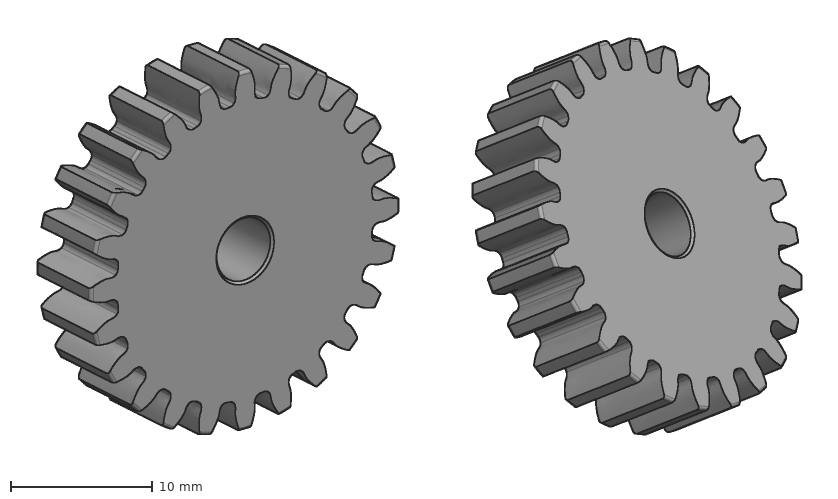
import cadquery as cq
import math

outer_diameter = 27.5
face_width = 6.35
tooth_count = 24
pressure_angle = math.radians(14.5)
root_clearance = 0.25
root_half_width = 1.18
root_fillet = 0.52
tip_fillet = 0.25
bore_diameter = 4.75
bore_chamfer = 0.2
flank_steps = 6

outer_radius = outer_diameter / 2
module = outer_diameter / (tooth_count + 2)
root_radius = outer_radius - (2 + root_clearance) * module
pitch_radius = module * tooth_count / 2
base_radius = pitch_radius * math.cos(pressure_angle)
root_half_angle = root_half_width / root_radius
tooth_angle = 2 * math.pi / tooth_count
half_width = face_width / 2
end_plane = cq.Workplane("YZ", origin=(-half_width, 0, 0))


def involute(angle):
    return math.tan(angle) - angle


def half_tooth_angle(radius):
    """Half of the angle that a tooth spans on an involute flank at this radius."""
    local_pressure_angle = math.acos(min(1, base_radius / radius))
    return tooth_angle / 4 + involute(pressure_angle) - involute(local_pressure_angle)


def polar(radius, angle):
    return (radius * math.cos(angle), radius * math.sin(angle))


def flank(center_angle, side):
    """Points of one flank: its flared foot, then the involute from the base circle to the tip."""
    tip_roll = math.sqrt((outer_radius / base_radius) ** 2 - 1)
    points = [polar(root_radius, center_angle + side * root_half_angle)]
    for step in range(flank_steps + 1):
        roll = tip_roll * step / flank_steps
        radius = base_radius * math.sqrt(1 + roll**2)
        points.append(polar(radius, center_angle + side * half_tooth_angle(radius)))
    return points


def gear_outline():
    """Toothed outline: smooth flanks between round tips and round roots."""
    outline = end_plane.moveTo(*polar(root_radius, -root_half_angle))
    for tooth in range(tooth_count):
        center_angle = tooth * tooth_angle
        rising = flank(center_angle, -1)
        falling = flank(center_angle, 1)[::-1]
        outline = outline.spline(rising[1:], includeCurrent=True)
        outline = outline.threePointArc(polar(outer_radius, center_angle), falling[0])
        outline = outline.spline(falling[1:], includeCurrent=True)
        outline = outline.threePointArc(
            polar(root_radius, center_angle + tooth_angle / 2),
            polar(root_radius, center_angle + tooth_angle - root_half_angle),
        )
    return outline.close()


def is_root_corner(edge):
    tolerance = 0.0003
    center = edge.Center()
    return abs(math.hypot(center.y, center.z) - root_radius) < tolerance


def toothed_disc():
    disc = gear_outline().extrude(face_width)
    root_corners = disc.edges("|X").filter(is_root_corner)
    return root_corners.fillet(root_fillet)


def rounded_blank():
    """Cylinder whose filleted rims round the ends of the teeth."""
    blank = end_plane.circle(outer_radius).extrude(face_width)
    return blank.faces("<X or >X").edges().fillet(tip_fillet)


def chamfered_bore():
    """Through bore with a chamfer at each end face."""
    bore_radius = bore_diameter / 2
    mouth_radius = bore_radius + bore_chamfer
    half_profile = [
        (-half_width, 0),
        (-half_width, mouth_radius),
        (-half_width + bore_chamfer, bore_radius),
        (half_width - bore_chamfer, bore_radius),
        (half_width, mouth_radius),
        (half_width, 0),
    ]
    return cq.Workplane("XY").polyline(half_profile).close().revolve(360, (0, 0), (1, 0))


result = toothed_disc().intersect(rounded_blank()).cut(chamfered_bore())